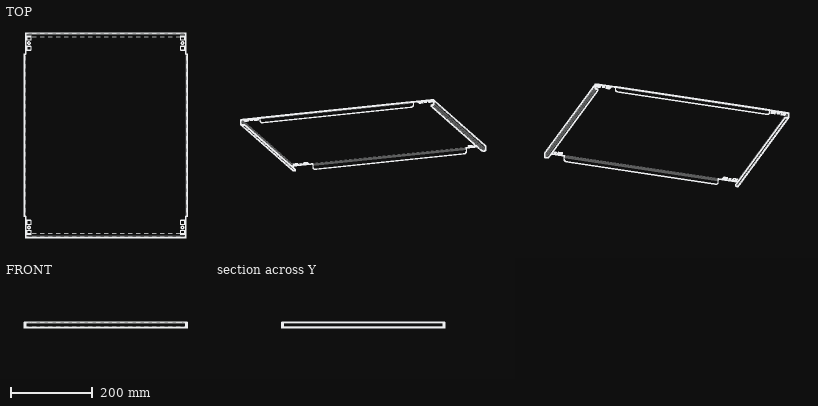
import cadquery as cq

overall_width = 399.0
overall_length = 500.0
height = 15.0
thickness = 2.0
inner_bend_radius = 2.0
outer_bend_radius = inner_bend_radius + thickness

panel_width = overall_width - 2 * outer_bend_radius
lip_depth = 10.0

side_flange_length = 396.0

free_corner_radius = 6.0

square_hole = 9.5
round_hole_diameter = 6.0
hole_pitch = 12.5
hole_group_x = 187.5
hole_group_y = overall_length / 2 - 2 * hole_pitch

panel_underside = height - thickness
upper_bend_end = height - outer_bend_radius
lower_bend_end = outer_bend_radius


def make_panel_half():
    """The +Y half of the panel: flat sheet, end flange and return lip."""
    end = overall_length / 2
    inner_wall = end - thickness
    bend_start = end - outer_bend_radius
    lip_end = end - lip_depth
    half = (
        cq.Workplane("YZ")
        .moveTo(0, height)
        .lineTo(bend_start, height)
        .tangentArcPoint((end, upper_bend_end), relative=False)
        .lineTo(end, lower_bend_end)
        .tangentArcPoint((bend_start, 0), relative=False)
        .lineTo(lip_end, 0)
        .lineTo(lip_end, thickness)
        .lineTo(bend_start, thickness)
        .tangentArcPoint((inner_wall, lower_bend_end), relative=False)
        .lineTo(inner_wall, upper_bend_end)
        .tangentArcPoint((bend_start, panel_underside), relative=False)
        .lineTo(0, panel_underside)
        .close()
        .extrude(panel_width / 2, both=True)
    )
    lip_corners = cq.selectors.BoxSelector(
        (-overall_width, lip_end - thickness, 0),
        (overall_width, lip_end + thickness, thickness),
    )
    return half.edges("|Z").edges(lip_corners).fillet(free_corner_radius)


def make_side_flange():
    """Flange bent down along the +X side, with its lower corners rounded."""
    outer_wall = overall_width / 2
    inner_wall = outer_wall - thickness
    bend_start = panel_width / 2
    flange = (
        cq.Workplane("XZ")
        .moveTo(inner_wall, 0)
        .lineTo(inner_wall, upper_bend_end)
        .tangentArcPoint((bend_start, panel_underside), relative=False)
        .lineTo(bend_start, height)
        .threePointArc(bend_midpoint(bend_start), (outer_wall, upper_bend_end))
        .lineTo(outer_wall, 0)
        .close()
        .extrude(side_flange_length / 2, both=True)
    )
    return flange.faces("<Z").edges("|X").fillet(free_corner_radius)


def bend_midpoint(bend_start):
    """Point halfway round the outside of an upper bend that begins at bend_start."""
    reach = outer_bend_radius / 2 ** 0.5
    return (bend_start + reach, upper_bend_end + reach)


def make_corner_holes():
    """Cutters for the panel holes; the return lips below stay whole."""
    sheet = cq.Workplane("XY").workplane(offset=panel_underside)
    centres = [(sx * hole_group_x, sy * hole_group_y) for sx in (-1, 1) for sy in (-1, 1)]
    square_centres = [(x, y + step) for x, y in centres for step in (-hole_pitch, hole_pitch)]
    squares = sheet.pushPoints(square_centres).rect(square_hole, square_hole).extrude(thickness)
    rounds = sheet.pushPoints(centres).circle(round_hole_diameter / 2).extrude(thickness)
    return squares.union(rounds)


panel_half = make_panel_half()
panel = panel_half.union(panel_half.mirror("XZ")).cut(make_corner_holes())
side_flange = make_side_flange()
result = panel.union(side_flange).union(side_flange.mirror("YZ"))